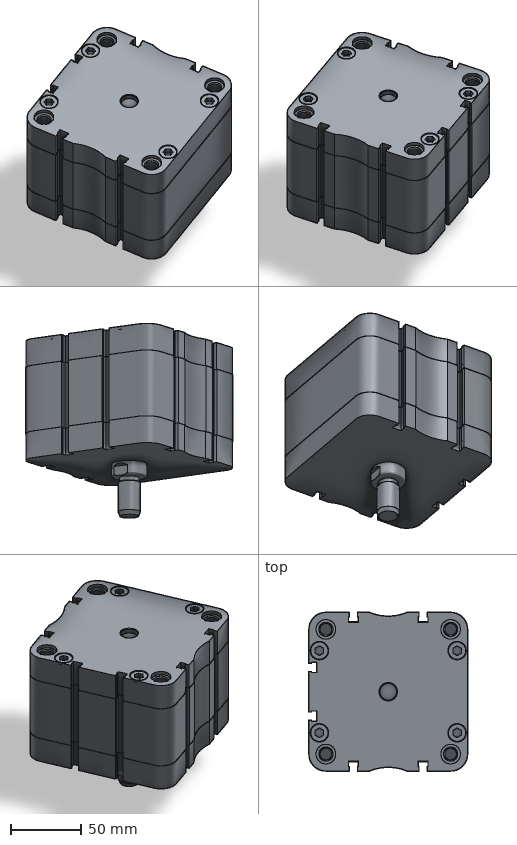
import cadquery as cq
import math


barrel_width = 113.5
cap_inset = 0.25
cap_width = barrel_width - 2 * cap_inset
cap_height = 19.5
barrel_length = 48.0
total_height = 2 * cap_height + barrel_length
mounting_offset = 44.5

hollow_half_width = 13.5
hollow_depth = 2.7

barrel_slot_offset = 25.0
barrel_slot_depth = 6.7
cap_slot_offset = 24.8
cap_slot_depth = 7.0
side_lip = 3.2
left_slot_offset = 17.4
left_slot_depth = 5.7
left_lip = 1.8
slot_mouth_width = 5.8
slot_groove_width = 7.1

mounting_recess_diameter = 14.0
mounting_recess_depth = 2.7
countersink_diameter = 10.11
thread_core_diameter = 8.38
countersink_depth = (countersink_diameter - thread_core_diameter) / 2

screw_offset_x = 49.15
screw_offset_y = 29.3
screw_recess_diameter = 13.1
screw_head_diameter = 12.7
screw_top_diameter = 12.3
screw_head_drop = 0.4
screw_gap_depth = 2.0
screw_edge_chamfer = (screw_head_diameter - screw_top_diameter) / 2
socket_across_flats = 6.0
socket_depth = 4.0

centre_hole_diameter = 12.0
centre_rim_diameter = 13.1
centre_hole_depth = 3.7

rod_diameter = 25.0
rod_shoulder_length = 10.0
shoulder_fillet = 2.0
rod_across_flats = 22.0
flat_start = 3.0
neck_diameter = 14.0
thread_diameter = 16.0
neck_end = 13.0
neck_cone_angle = 30.0
rod_length = 38.0
tip_chamfer_length = 3.2
tip_diameter = 13.5


def side_outline(width):
    """Square with rounded corners and a shallow arc-shaped hollow in its -Y and +Y sides."""
    half = width / 2
    start = mounting_offset
    corner = start + (half - start) * math.sqrt(0.5)
    floor = half - hollow_depth
    return (
        cq.Workplane("XY")
        .moveTo(-start, -half)
        .lineTo(-hollow_half_width, -half)
        .threePointArc((0, -floor), (hollow_half_width, -half))
        .lineTo(start, -half)
        .threePointArc((corner, -corner), (half, -start))
        .lineTo(half, start)
        .threePointArc((corner, corner), (start, half))
        .lineTo(hollow_half_width, half)
        .threePointArc((0, floor), (-hollow_half_width, half))
        .lineTo(-start, half)
        .threePointArc((-corner, corner), (-half, start))
        .lineTo(-half, -start)
        .threePointArc((-corner, -corner), (-start, -half))
        .close()
    )


def t_slot(width, depth, lip, length):
    """Cutter for a slot at X = 0 in the -Y side of a block of the given width."""
    surface = -width / 2
    mouth = cq.Workplane("XY").rect(slot_mouth_width, 2 * depth).extrude(length)
    groove = (
        cq.Workplane("XY")
        .center(0, (lip + depth) / 2)
        .rect(slot_groove_width, depth - lip)
        .extrude(length)
    )
    return mouth.union(groove).translate((0, surface, 0))


def profiled_block(width, length, side_slot_offset, side_slot_depth):
    """Length of the cylinder profile, with two slots in each of the -Y, +Y and -X sides."""
    block = side_outline(width).extrude(length)
    side_slot = t_slot(width, side_slot_depth, side_lip, length)
    left_slot = t_slot(width, left_slot_depth, left_lip, length).rotate((0, 0, 0), (0, 0, 1), -90)
    for sign in (-1, 1):
        front_slot = side_slot.translate((sign * side_slot_offset, 0, 0))
        block = block.cut(front_slot)
        block = block.cut(front_slot.mirror("XZ"))
        block = block.cut(left_slot.translate((0, sign * left_slot_offset, 0)))
    return block


def make_cap_block():
    """Plain cap standing on Z = 0, as used for the bearing cap."""
    return profiled_block(cap_width, cap_height, cap_slot_offset, cap_slot_depth)


def make_barrel():
    block = profiled_block(barrel_width, barrel_length, barrel_slot_offset, barrel_slot_depth)
    return block.translate((0, 0, cap_height))


def mounting_hole_cutter():
    """Recess, countersink and core hole, with the cap's outer face at Z = 0."""
    core_top = -mounting_recess_depth - countersink_depth
    return (
        cq.Workplane("XZ")
        .moveTo(0, 0)
        .lineTo(mounting_recess_diameter / 2, 0)
        .lineTo(mounting_recess_diameter / 2, -mounting_recess_depth)
        .lineTo(countersink_diameter / 2, -mounting_recess_depth)
        .lineTo(thread_core_diameter / 2, core_top)
        .lineTo(thread_core_diameter / 2, -cap_height)
        .lineTo(0, -cap_height)
        .close()
        .revolve(360, (0, 0, 0), (0, 1, 0))
    )


def screw_cutter():
    """Room above and around a screw head and the socket in it, with the cap's outer face at Z = 0."""
    gap = (
        cq.Workplane("XZ")
        .moveTo(0, 0)
        .lineTo(screw_recess_diameter / 2, 0)
        .lineTo(screw_recess_diameter / 2, -screw_gap_depth)
        .lineTo(screw_head_diameter / 2, -screw_gap_depth)
        .lineTo(screw_head_diameter / 2, -screw_head_drop - screw_edge_chamfer)
        .lineTo(screw_top_diameter / 2, -screw_head_drop)
        .lineTo(0, -screw_head_drop)
        .close()
        .revolve(360, (0, 0, 0), (0, 1, 0))
    )
    socket = (
        cq.Workplane("XY")
        .polygon(6, socket_across_flats, circumscribed=True)
        .extrude(-screw_head_drop - socket_depth)
    )
    return gap.union(socket)


def centre_hole_cutter():
    """Blind hole with a chamfered rim, with the cap's outer face at Z = 0."""
    rim_depth = (centre_rim_diameter - centre_hole_diameter) / 2
    return (
        cq.Workplane("XZ")
        .moveTo(0, 0)
        .lineTo(centre_rim_diameter / 2, 0)
        .lineTo(centre_hole_diameter / 2, -rim_depth)
        .lineTo(centre_hole_diameter / 2, -centre_hole_depth)
        .lineTo(0, -centre_hole_depth)
        .close()
        .revolve(360, (0, 0, 0), (0, 1, 0))
    )


def make_end_cap():
    cap = make_cap_block().translate((0, 0, total_height - cap_height))
    mounting_hole = mounting_hole_cutter()
    screw = screw_cutter()
    for x_sign in (-1, 1):
        for y_sign in (-1, 1):
            hole_place = (x_sign * mounting_offset, y_sign * mounting_offset, total_height)
            screw_place = (x_sign * screw_offset_x, y_sign * screw_offset_y, total_height)
            cap = cap.cut(mounting_hole.translate(hole_place))
            cap = cap.cut(screw.translate(screw_place))
    return cap.cut(centre_hole_cutter().translate((0, 0, total_height)))


def make_piston_rod():
    """Shoulder with two wrench flats, undercut neck and threaded end, turned about Z."""
    neck_cone_rise = (thread_diameter - neck_diameter) / 2
    neck_cone_length = neck_cone_rise * math.tan(math.radians(neck_cone_angle))
    rod = (
        cq.Workplane("XZ")
        .moveTo(0, 0)
        .lineTo(rod_diameter / 2, 0)
        .lineTo(rod_diameter / 2, shoulder_fillet - rod_shoulder_length)
        .radiusArc((rod_diameter / 2 - shoulder_fillet, -rod_shoulder_length), shoulder_fillet)
        .lineTo(neck_diameter / 2, -rod_shoulder_length)
        .lineTo(neck_diameter / 2, -neck_end)
        .lineTo(thread_diameter / 2, -neck_end - neck_cone_length)
        .lineTo(thread_diameter / 2, tip_chamfer_length - rod_length)
        .lineTo(tip_diameter / 2, -rod_length)
        .lineTo(0, -rod_length)
        .close()
        .revolve(360, (0, 0, 0), (0, 1, 0))
    )
    flat_cut_depth = (rod_diameter - rod_across_flats) / 2
    flat_cutter = (
        cq.Workplane("XZ")
        .moveTo(rod_across_flats / 2, -flat_start)
        .lineTo(rod_diameter / 2, flat_cut_depth - flat_start)
        .lineTo(rod_diameter / 2, -rod_shoulder_length)
        .lineTo(rod_across_flats / 2, -rod_shoulder_length)
        .close()
        .extrude(rod_diameter / 2, both=True)
    )
    return rod.cut(flat_cutter).cut(flat_cutter.mirror("YZ"))


bearing_cap = make_cap_block()
barrel = make_barrel()
end_cap = make_end_cap()
piston_rod = make_piston_rod()

result = cq.Compound.makeCompound(
    [bearing_cap.val(), barrel.val(), end_cap.val(), piston_rod.val()]
)